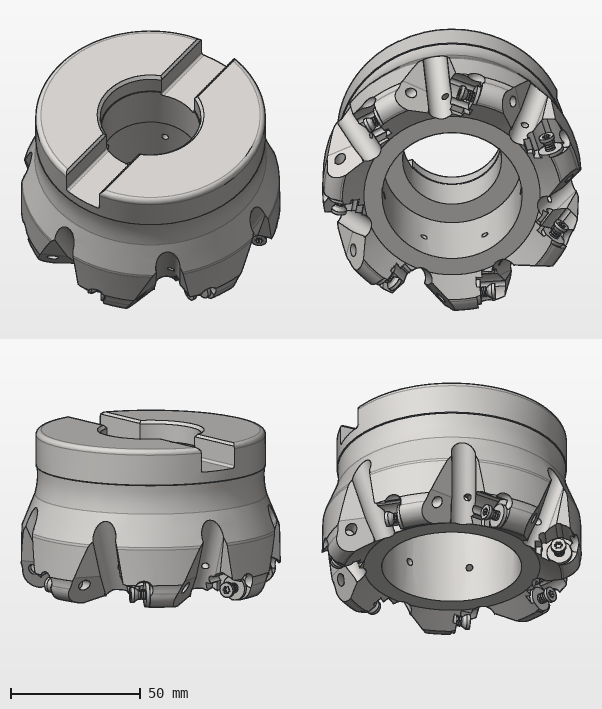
import cadquery as cq
import math

HEIGHT = 61.71
HUB_RADIUS = 44.3
HUB_EDGE_FILLET = 2.0
HUB_BOTTOM = 48.0
HUB_STEP = 0.3
NECK_RADIUS = 43.75
NECK_MIDDLE = 43.0
CONE_TOP = 36.7
CONE_TOP_RADIUS = 44.7
CONE_BOTTOM = 24.5
CONE_BOTTOM_RADIUS = 49.6
RIM_TOP = 23.5
RIM_TOP_RADIUS = 49.75
CUTTER_RADIUS = 49.98
COVE_TOP = 9.6
COVE_DEPTH = 0.6
COVE_BULGE = 0.75
NOSE_RADIUS = 6.2

BORE_RADIUS = 19.05
BORE_MOUTH_RADIUS = 19.4
BORE_MOUTH_DEPTH = 8.0
BORE_CHAMFER = 1.2
COUNTERBORE_RADIUS = 27.0
COUNTERBORE_TOP = 36.0

BASE_RECESS_DEPTH = 4.6
BASE_RECESS_RADIUS = 34.0
BASE_RIM_RADIUS = 42.4

KEYWAY_WIDTH = 15.88
KEYWAY_DEPTH = 9.53
KEYWAY_CHAMFER = 1.0
KEYWAY_FILLET = 1.0

FLUTE_COUNT = 7
FIRST_FLUTE_ANGLE = -97.2
FLUTE_LEAN = 24.0
FLUTE_SKEW = 1.8
FLUTE_REACH = 24.0
FLUTE_LENGTH = 60.0
FLUTE_BELOW_TIP = 40.0
GULLET_RADIUS = 4.7
GULLET_TIP_RADIUS = 45.9
GULLET_TIP_HEIGHT = 33.3
GULLET_TIP_OFFSET = 0.2
LEADING_FACE_ANGLE = 36.0
LEADING_EDGE_OFFSET = 1.2

FOOT_POINT = (42.4, -3.6, 11.0)
FOOT_TURN = 36.0
FOOT_DIP = 27.0

WALL_POINT = (48.9, 6.3, 21.5)
WALL_TURN = -59.0
WALL_DIP = 9.0

NOZZLE_DIAMETER = 2.6
NOZZLE_POINT = (39.8, 2.9, 13.2)
NOZZLE_LENGTH = 17.0

SIDE_HOLE_DIAMETER = 4.1
SIDE_HOLE_DEPTH = 8.0
SIDE_HOLE_LENGTH = 12.0
SIDE_HOLE_POINT = (46.5, -6.2, 7.6)
SIDE_HOLE_ANGLE = 58.0

SEAT_ANGLE = 30.0
SEAT_CENTRE = (40.5, 14.05, 4.9)
SEAT_RADIUS = 4.8
SEAT_RISE = 1.4
POCKET_RADIUS = 7.0
POCKET_LENGTH = 12.0
CORNER_RELIEF_RADIUS = 1.5
CORNER_RELIEFS = ((-6.0, 3.6), (0.3, 5.9))
SCOOP_RADIUS = 3.5
SCOOP_POINT = (6.5, 2.9, 1.2)
CLEARANCE_TOP = 2.8
CLEARANCE_START = 3.0
CLEARANCE_SIZE = 12.0
INNER_CLEARANCE_TOP = 2.0
INNER_CLEARANCE_LIFT = 1.0
INNER_CLEARANCE_WIDTH = 9.0

SCREW_STAND = 5.6
SCREW_SUNK = 5.0
HEAD_RADIUS = 2.9
HEAD_EDGE = 1.3
HEAD_LENGTH = 2.7
SHANK_RADIUS = 1.95
THREAD_ROOT_RADIUS = 1.65
THREAD_COUNT = 3
DRIVE_LOBES = 6
DRIVE_RADIUS = 1.1
DRIVE_LOBE_RADIUS = 0.4
DRIVE_DEPTH = 1.6


def revolved_body():
    """The turned outside of the cutter, without any cuts."""
    nose_centre_radius = CUTTER_RADIUS - COVE_DEPTH - NOSE_RADIUS
    diagonal = NOSE_RADIUS * math.sqrt(0.5)
    return (
        cq.Workplane("XZ")
        .moveTo(0, 0)
        .lineTo(nose_centre_radius, 0)
        .threePointArc(
            (nose_centre_radius + diagonal, NOSE_RADIUS - diagonal),
            (CUTTER_RADIUS - COVE_DEPTH, NOSE_RADIUS),
        )
        .threePointArc(
            (CUTTER_RADIUS - COVE_DEPTH * COVE_BULGE, (NOSE_RADIUS + COVE_TOP) / 2),
            (CUTTER_RADIUS, COVE_TOP),
        )
        .lineTo(RIM_TOP_RADIUS, RIM_TOP)
        .lineTo(CONE_BOTTOM_RADIUS, CONE_BOTTOM)
        .lineTo(CONE_TOP_RADIUS, CONE_TOP)
        .threePointArc(
            (NECK_RADIUS, NECK_MIDDLE),
            (HUB_RADIUS - HUB_STEP, HUB_BOTTOM - HUB_STEP),
        )
        .lineTo(HUB_RADIUS, HUB_BOTTOM)
        .lineTo(HUB_RADIUS, HEIGHT)
        .lineTo(0, HEIGHT)
        .close()
        .revolve(360, (0, 0, 0), (0, 1, 0))
        .faces(">Z")
        .edges()
        .fillet(HUB_EDGE_FILLET)
    )


def bore():
    """Arbor bore with a wider chamfered mouth, a bolt counterbore and the dished underside."""
    return (
        cq.Workplane("XZ")
        .moveTo(0, 0)
        .lineTo(BASE_RIM_RADIUS, 0)
        .lineTo(BASE_RECESS_RADIUS, BASE_RECESS_DEPTH)
        .lineTo(COUNTERBORE_RADIUS, BASE_RECESS_DEPTH)
        .lineTo(COUNTERBORE_RADIUS, COUNTERBORE_TOP)
        .lineTo(BORE_RADIUS, COUNTERBORE_TOP)
        .lineTo(BORE_RADIUS, HEIGHT - BORE_MOUTH_DEPTH)
        .lineTo(BORE_MOUTH_RADIUS, HEIGHT - BORE_MOUTH_DEPTH)
        .lineTo(BORE_MOUTH_RADIUS, HEIGHT - BORE_CHAMFER)
        .lineTo(BORE_MOUTH_RADIUS + BORE_CHAMFER, HEIGHT)
        .lineTo(0, HEIGHT)
        .close()
        .revolve(360, (0, 0, 0), (0, 1, 0))
    )


def keyway():
    """Drive slot along Y with chamfered top edges and rounded floor corners."""
    half = KEYWAY_WIDTH / 2
    floor = HEIGHT - KEYWAY_DEPTH
    slot = (
        cq.Workplane("XZ")
        .moveTo(-half, floor)
        .lineTo(half, floor)
        .lineTo(half, HEIGHT - KEYWAY_CHAMFER)
        .lineTo(half + KEYWAY_CHAMFER, HEIGHT)
        .lineTo(-half - KEYWAY_CHAMFER, HEIGHT)
        .lineTo(-half, HEIGHT - KEYWAY_CHAMFER)
        .close()
        .extrude(CUTTER_RADIUS, both=True)
    )
    return slot.faces("<Z").edges("|Y").fillet(KEYWAY_FILLET)


def gullet_plane():
    """Plane across the gullet axis at its tip: X outwards, Y tangential, normal up along the axis."""
    lean = math.radians(FLUTE_LEAN)
    skew = math.radians(FLUTE_SKEW)
    axis_radius = GULLET_TIP_RADIUS + GULLET_RADIUS / math.cos(lean)
    tip = (axis_radius, GULLET_TIP_OFFSET, GULLET_TIP_HEIGHT)
    outward = (math.cos(lean), 0, -math.sin(lean))
    return cq.Plane(tip, outward, (math.sin(lean), -math.tan(skew), math.cos(lean)))


def open_side(point, turn, dip):
    """Large block lying on the open side of a flat with the given point and normal."""
    turn = math.radians(turn)
    dip = math.radians(dip)
    level = (-math.sin(turn), math.cos(turn), 0)
    normal = (math.cos(turn) * math.cos(dip), math.sin(turn) * math.cos(dip), -math.sin(dip))
    plane = cq.Plane(point, level, normal)
    return cq.Workplane(plane).rect(2 * FLUTE_LENGTH, 2 * FLUTE_LENGTH).extrude(FLUTE_LENGTH)


def flute():
    """Chip gullet: a round groove between flat faces, leaning inwards towards the bottom."""
    across = cq.Workplane(gullet_plane()).workplane(offset=-FLUTE_BELOW_TIP)
    face_slope = math.tan(math.radians(LEADING_FACE_ANGLE)) * math.cos(math.radians(FLUTE_LEAN))
    left_edge = (LEADING_EDGE_OFFSET, -math.sqrt(GULLET_RADIUS**2 - LEADING_EDGE_OFFSET**2))
    face_end = (left_edge[0] + FLUTE_REACH * face_slope, left_edge[1] - FLUTE_REACH)
    groove = (
        across.moveTo(*left_edge)
        .threePointArc((-GULLET_RADIUS, 0), (0, GULLET_RADIUS))
        .lineTo(face_end[0], GULLET_RADIUS)
        .lineTo(*face_end)
        .close()
        .extrude(FLUTE_LENGTH)
    )
    foot_side = across.rect(FLUTE_REACH, -FLUTE_REACH, centered=False).extrude(FLUTE_LENGTH)
    wall_side = across.rect(FLUTE_REACH, FLUTE_REACH, centered=False).extrude(FLUTE_LENGTH)
    foot = foot_side.intersect(open_side(FOOT_POINT, FOOT_TURN, FOOT_DIP))
    wall = wall_side.intersect(open_side(WALL_POINT, WALL_TURN, WALL_DIP))
    return groove.union(foot).union(wall)


def coolant_nozzle():
    """Coolant hole square to the gullet, from the counterbore into the groove."""
    outward = gullet_plane().xDir
    start = cq.Vector(*NOZZLE_POINT) - outward * NOZZLE_LENGTH
    return cq.Workplane(
        cq.Solid.makeCylinder(NOZZLE_DIAMETER / 2, NOZZLE_LENGTH, start, outward)
    )


def side_hole():
    """Blind hole in the leading face of the flute."""
    angle = math.radians(SIDE_HOLE_ANGLE)
    outward = cq.Vector(math.cos(angle), math.sin(angle), 0)
    bottom = cq.Vector(*SIDE_HOLE_POINT) - outward * SIDE_HOLE_DEPTH
    return cq.Workplane(
        cq.Solid.makeCylinder(SIDE_HOLE_DIAMETER / 2, SIDE_HOLE_LENGTH, bottom, outward)
    )


def seat_plane():
    """Plane on the insert seat: X outwards along the seat, Y up, normal towards the screw head."""
    angle = math.radians(SEAT_ANGLE)
    along = (math.cos(angle), math.sin(angle), 0)
    normal = (math.sin(angle), -math.cos(angle), 0)
    return cq.Plane(SEAT_CENTRE, along, normal)


def insert_pocket():
    """Round pocket with corner reliefs and a scooped outer corner, sunk around a raised seat."""
    plane = seat_plane()
    floor = cq.Workplane(plane).workplane(offset=-SEAT_RISE)
    depth = POCKET_LENGTH + SEAT_RISE
    pocket = floor.circle(POCKET_RADIUS).extrude(depth)
    reliefs = floor.pushPoints(CORNER_RELIEFS).circle(CORNER_RELIEF_RADIUS).extrude(depth)
    scoop = cq.Workplane(plane).center(*SCOOP_POINT[:2]).workplane(offset=SCOOP_POINT[2])
    scoop = scoop.sphere(SCOOP_RADIUS)
    outer_clearance = (
        floor.center(CLEARANCE_START, CLEARANCE_TOP - CLEARANCE_SIZE)
        .rect(CLEARANCE_SIZE, CLEARANCE_SIZE, centered=False)
        .extrude(depth)
    )
    inner_clearance = (
        cq.Workplane(plane)
        .workplane(offset=INNER_CLEARANCE_LIFT)
        .moveTo(0, INNER_CLEARANCE_TOP)
        .rect(-INNER_CLEARANCE_WIDTH, -CLEARANCE_SIZE, centered=False)
        .extrude(POCKET_LENGTH)
    )
    seat = floor.circle(SEAT_RADIUS).extrude(SEAT_RISE)
    pocket = pocket.union(reliefs).union(scoop).union(outer_clearance).cut(seat)
    return pocket.union(inner_clearance)


def insert_screw():
    """Countersunk insert screw with a thread and a six-lobed drive, standing out of its seat."""
    neck = SCREW_STAND - HEAD_LENGTH
    pitch = neck / THREAD_COUNT
    outline = cq.Workplane("XZ").moveTo(0, -SCREW_SUNK).lineTo(SHANK_RADIUS, -SCREW_SUNK)
    outline = outline.lineTo(SHANK_RADIUS, 0)
    for turn in range(THREAD_COUNT):
        outline = outline.lineTo(THREAD_ROOT_RADIUS, (turn + 0.5) * pitch)
        outline = outline.lineTo(SHANK_RADIUS, (turn + 1) * pitch)
    screw = (
        outline.lineTo(HEAD_RADIUS, SCREW_STAND - HEAD_EDGE)
        .lineTo(HEAD_RADIUS, SCREW_STAND)
        .lineTo(0, SCREW_STAND)
        .close()
        .revolve(360, (0, 0, 0), (0, 1, 0))
    )
    drive = (
        cq.Workplane("XY", origin=(0, 0, SCREW_STAND - DRIVE_DEPTH))
        .circle(DRIVE_RADIUS)
        .extrude(DRIVE_DEPTH)
    )
    lobes = (
        cq.Workplane("XY", origin=(0, 0, SCREW_STAND - DRIVE_DEPTH))
        .polarArray(DRIVE_RADIUS, 0, 360, DRIVE_LOBES)
        .circle(DRIVE_LOBE_RADIUS)
        .extrude(DRIVE_DEPTH)
    )
    screw = screw.cut(drive.union(lobes))
    return cq.Workplane(screw.val().moved(cq.Location(seat_plane())))


def screw_hole():
    """Hole in the seat that the sunk end of the screw fills."""
    return cq.Workplane(seat_plane()).circle(SHANK_RADIUS).extrude(-SCREW_SUNK)


def turned(shape, index):
    """Copy of a flute feature turned to the given flute."""
    angle = FIRST_FLUTE_ANGLE + index * 360 / FLUTE_COUNT
    return shape.rotate((0, 0, 0), (0, 0, 1), angle)


flute_cuts = (flute(), insert_pocket(), coolant_nozzle(), side_hole(), screw_hole())

cutter_body = revolved_body().cut(bore()).cut(keyway())
for flute_index in range(FLUTE_COUNT):
    for feature in flute_cuts:
        cutter_body = cutter_body.cut(turned(feature, flute_index))

screw_blank = insert_screw()
screws = [turned(screw_blank, flute_index) for flute_index in range(FLUTE_COUNT)]

result = cq.Compound.makeCompound([*cutter_body.solids().vals(), *[screw.val() for screw in screws]])